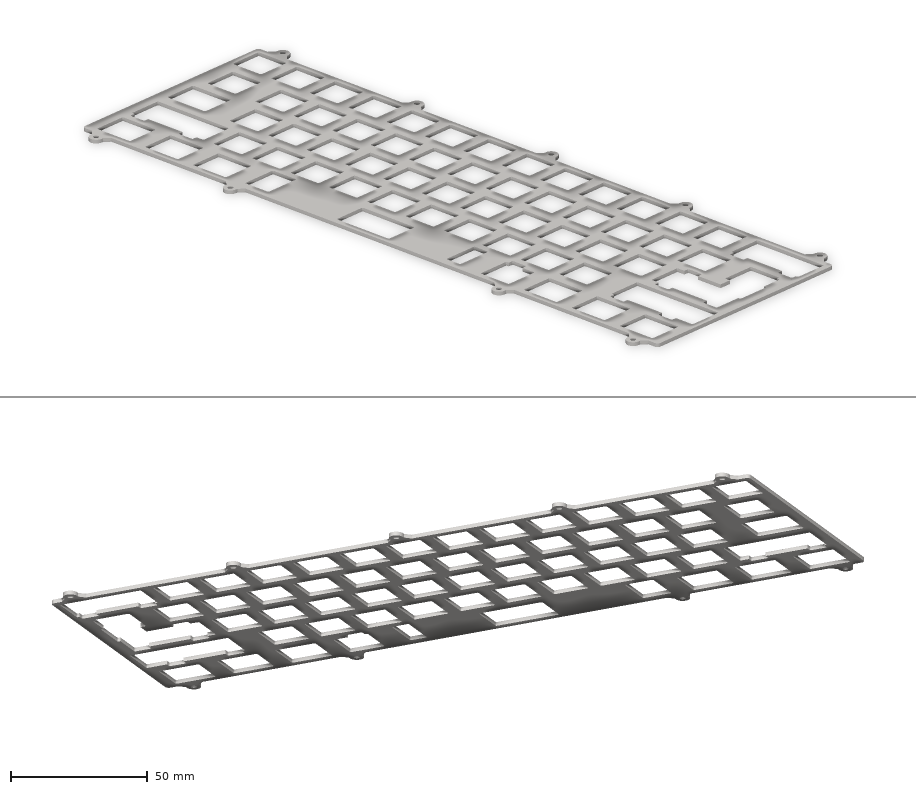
import cadquery as cq

plate_length = 285.8
thickness = 1.5
total_depth = 106.5
units_across = 15
row_count = 5
pitch = plate_length / units_across
plate_depth = row_count * pitch
corner_radius = 1.5
window_corner_radius = 0.5

switch_size = 14.0

stab_width = 7.0
stab_short_end = 6.0
stab_long_end = 9.1
stab_offset = 12.0

space_columns = (6.875, 7.5)
space_stab_offsets = (50.0, 57.2)

tab_radius = 2.71
tab_hole_diameter = 2.2
tab_flare = 2.15

back_tab_columns = (0.5, 4, 7.5, 11, 14.5)
front_tab_columns = (0.5, 4, 11, 14.5)


def column_x(units):
    """X of a key centre given in key units from the left edge."""
    return units * pitch - plate_length / 2


def row_y(row):
    """Y of a key row; row 1 is the back row."""
    return plate_depth / 2 - (row - 0.5) * pitch


def window(left, right, front, back):
    """Rectangular cutter through the plate."""
    return (
        cq.Workplane("XY")
        .center((left + right) / 2, (front + back) / 2)
        .rect(right - left, back - front)
        .extrude(thickness)
        .edges("|Z")
        .fillet(window_corner_radius)
    )


def switch_window(row, first, last=None):
    """Opening for a switch, stretched to cover alternative positions from first to last."""
    last = first if last is None else last
    half = switch_size / 2
    return window(
        column_x(first) - half, column_x(last) + half, row_y(row) - half, row_y(row) + half
    )


def stab_window(x, row, front_reach, back_reach):
    """Stabilizer opening reaching the given distances in front of and behind the row."""
    half = stab_width / 2
    return window(x - half, x + half, row_y(row) - front_reach, row_y(row) + back_reach)


def tab_center_y(side):
    """Y of a tab's hole; side is +1 for the back edge, -1 for the front."""
    return side * (total_depth / 2 - tab_radius)


def tab(x, side):
    """Round-headed mounting tab whose neck flares straight out into the plate edge."""
    edge_y = side * plate_depth / 2
    neck_y = edge_y + side * tab_flare
    head_y = tab_center_y(side)
    base_half_width = tab_radius + tab_flare
    return (
        cq.Workplane("XY")
        .moveTo(x - base_half_width, edge_y)
        .lineTo(x - tab_radius, neck_y)
        .lineTo(x - tab_radius, head_y)
        .threePointArc((x, head_y + side * tab_radius), (x + tab_radius, head_y))
        .lineTo(x + tab_radius, neck_y)
        .lineTo(x + base_half_width, edge_y)
        .close()
        .extrude(thickness)
    )


def tab_hole(x, side):
    """Screw hole cutter through a mounting tab."""
    return (
        cq.Workplane("XY")
        .center(x, tab_center_y(side))
        .circle(tab_hole_diameter / 2)
        .extrude(thickness)
    )


switch_runs = ((1, 0.5, 13), (2, 2, 12), (3, 2.25, 11), (4, 2.75, 10))

wide_switches = (
    (1, 13.5, 14.5),
    (2, 0.75, 0.75),
    (2, 14.25, 14.25),
    (3, 0.625, 0.875),
    (3, 13.25, 14.25),
    (4, 0.625, 1.75),
    (4, 13.125, 14.5),
    (5, 0.625, 0.75),
    (5, 1.875, 2),
    (5, 3.125, 3.25),
    (5, *space_columns),
    (5, 10.625, 10.625),
    (5, 11.75, 11.875),
    (5, 13, 13.125),
    (5, 14.25, 14.375),
)

cutters = []
for row, first, count in switch_runs:
    cutters += [switch_window(row, first + i) for i in range(count)]
cutters += [switch_window(*key) for key in wide_switches]

for row, center in ((1, 14), (4, 1.125), (4, 13.625)):
    for side in (-1, 1):
        x = column_x(center) + side * stab_offset
        cutters.append(stab_window(x, row, stab_long_end, stab_short_end))

enter_row = 3
enter_x = column_x(13.875)
for side in (-1, 1):
    cutters.append(stab_window(enter_x + side * stab_offset, enter_row, stab_long_end, stab_long_end))

tall_enter_row = 2.5
tall_enter_column = 14.375
tall_enter_y = row_y(tall_enter_row)
tall_enter_reach = stab_offset + stab_width / 2
cutters.append(switch_window(tall_enter_row, tall_enter_column))
cutters.append(
    window(
        column_x(tall_enter_column) - switch_size / 2,
        enter_x + stab_offset + stab_width / 2,
        tall_enter_y - tall_enter_reach,
        tall_enter_y + tall_enter_reach,
    )
)

left_stabs = []
for column, offset in zip(space_columns, space_stab_offsets):
    left_stabs.append(column_x(column) - offset)
    cutters.append(stab_window(column_x(column) + offset, row_count, stab_short_end, stab_long_end))
cutters.append(
    window(
        min(left_stabs) - stab_width / 2,
        max(left_stabs) + stab_width / 2,
        row_y(row_count) - stab_short_end,
        row_y(row_count) + stab_long_end,
    )
)

plate = (
    cq.Workplane("XY").rect(plate_length, plate_depth).extrude(thickness)
    .edges("|Z").fillet(corner_radius)
)
for columns, side in ((back_tab_columns, 1), (front_tab_columns, -1)):
    for column in columns:
        plate = plate.union(tab(column_x(column), side))
        cutters.append(tab_hole(column_x(column), side))

result = cq.Workplane("XY").newObject([plate.val().cut(*[cutter.val() for cutter in cutters])])